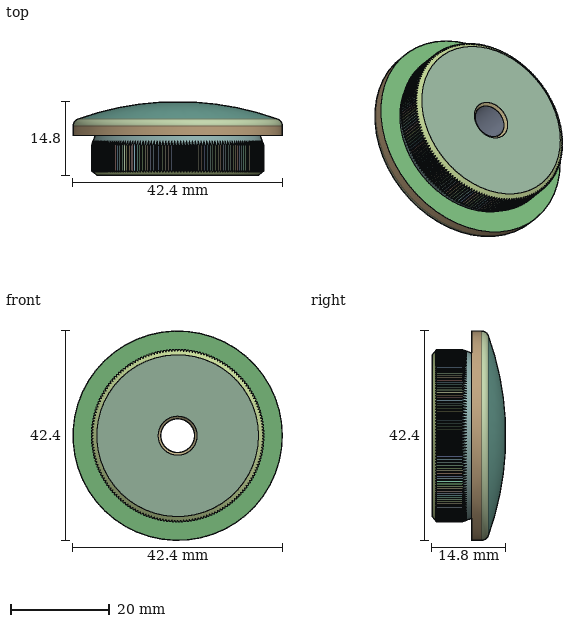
import cadquery as cq
import math

disc_radius = 21.2
apex_to_tip = 14.92
rim_height = 2.0
rim_fillet = 1.5

plug_height = 8.0
plug_radius = 17.45
neck_radius = 16.75
neck_taper_height = 2.0
tip_radius = 16.35
tip_chamfer_height = 0.95

groove_count = 180
groove_depth = 0.35
land_share = 0.35

bore_radius = 3.4
bore_chamfer = 0.55

dome_height = apex_to_tip - plug_height


def polar(radius, angle):
    return radius * math.cos(angle), radius * math.sin(angle)


def revolve_about_y(profile):
    return profile.close().revolve(360, (0, 0, 0), (0, 1, 0))


def make_disc():
    """Disc with a vertical rim, a rim fillet and a dome tangent to that fillet."""
    fillet_x = disc_radius - rim_fillet
    drop = dome_height - rim_height
    dome_radius = (fillet_x**2 + drop**2 - rim_fillet**2) / (2 * (drop - rim_fillet))
    dome_centre_y = dome_height - dome_radius
    edge_angle = math.atan2(rim_height - dome_centre_y, fillet_x)

    def fillet_point(angle):
        x, y = polar(rim_fillet, angle)
        return fillet_x + x, rim_height + y

    def dome_point(angle):
        x, y = polar(dome_radius, angle)
        return x, dome_centre_y + y

    profile = (
        cq.Workplane("XY")
        .lineTo(disc_radius, 0)
        .lineTo(disc_radius, rim_height)
        .threePointArc(fillet_point(edge_angle / 2), fillet_point(edge_angle))
        .threePointArc(dome_point((edge_angle + math.pi / 2) / 2), (0, dome_height))
    )
    return revolve_about_y(profile)


def make_plug():
    """Plug with a tapered neck and a chamfered tip, before knurling."""
    profile = (
        cq.Workplane("XY")
        .lineTo(neck_radius, 0)
        .lineTo(plug_radius, -neck_taper_height)
        .lineTo(plug_radius, tip_chamfer_height - plug_height)
        .lineTo(tip_radius, -plug_height)
        .lineTo(0, -plug_height)
    )
    return revolve_about_y(profile)


def make_knurl_prism():
    """Toothed prism that trims the plug, with one groove root on the +Z line."""
    pitch = 2 * math.pi / groove_count
    half_groove = pitch * (1 - land_share) / 2
    points = []
    for groove in range(groove_count):
        root_angle = math.pi / 2 + groove * pitch
        points.append(polar(plug_radius, root_angle - half_groove))
        points.append(polar(plug_radius - groove_depth, root_angle))
        points.append(polar(plug_radius, root_angle + half_groove))
    return cq.Workplane("XZ").polyline(points).close().extrude(plug_height)


def make_bore():
    """Through bore with a lead-in chamfer at the plug tip."""
    profile = (
        cq.Workplane("XY")
        .moveTo(0, -plug_height)
        .lineTo(bore_radius + bore_chamfer, -plug_height)
        .lineTo(bore_radius, bore_chamfer - plug_height)
        .lineTo(bore_radius, dome_height)
        .lineTo(0, dome_height)
    )
    return revolve_about_y(profile)


knurled_plug = make_plug().intersect(make_knurl_prism())
result = make_disc().union(knurled_plug).cut(make_bore())